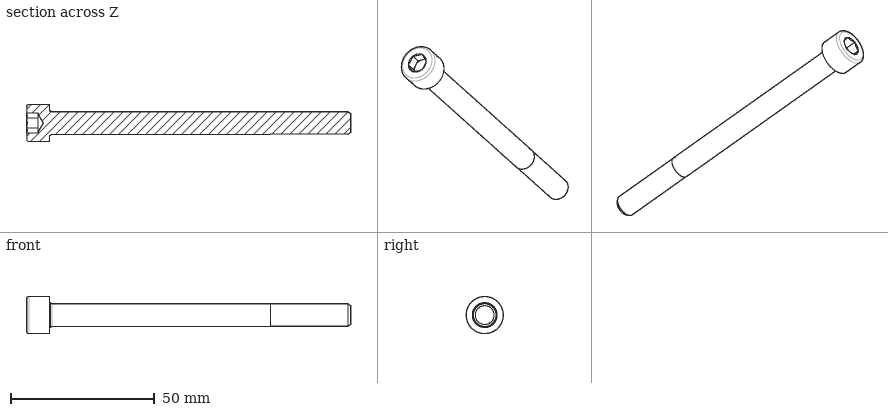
import cadquery as cq
import math

total_length = 113.0
head_length = 8.0
head_diameter = 13.0
head_edge_radius = 0.8
shank_diameter = 8.0
thread_diameter = 7.9
thread_length = 28.0
collar_length = 0.3
collar_height = 0.3
neck_taper_length = 0.6
tip_chamfer_length = 1.0
tip_chamfer_depth = 0.7

socket_flats = 6.0
socket_depth = 4.1
socket_cone_angle = 120.0
socket_mouth_diameter = 6.9
socket_mouth_angle = 120.0

head_radius = head_diameter / 2
shank_radius = shank_diameter / 2
thread_radius = thread_diameter / 2
thread_start = total_length - thread_length
socket_corners = socket_flats / math.cos(math.radians(30))


def make_body():
    """Revolve the head, collar, neck arc, plain shank and thread envelope."""
    collar_end = head_length + collar_length
    collar_radius = shank_radius + collar_height
    neck_end = collar_end + neck_taper_length
    neck_arc_radius = (neck_taper_length**2 + collar_height**2) / (2 * collar_height)
    profile = (
        cq.Workplane("XY")
        .lineTo(0, head_radius - head_edge_radius)
        .radiusArc((head_edge_radius, head_radius), head_edge_radius)
        .lineTo(head_length, head_radius)
        .lineTo(head_length, collar_radius)
        .lineTo(collar_end, collar_radius)
        .radiusArc((neck_end, shank_radius), -neck_arc_radius)
        .lineTo(thread_start, shank_radius)
        .lineTo(thread_start, thread_radius)
        .lineTo(total_length - tip_chamfer_length, thread_radius)
        .lineTo(total_length, thread_radius - tip_chamfer_depth)
        .lineTo(total_length, 0)
        .close()
    )
    return profile.revolve(360, (0, 0, 0), (1, 0, 0))


def make_cone(start, radius, included_angle):
    """Cone with its base at X = start and its point towards +X."""
    height = radius / math.tan(math.radians(included_angle / 2))
    return cq.Workplane(
        cq.Solid.makeCone(radius, 0, height, cq.Vector(start, 0, 0), cq.Vector(1, 0, 0))
    )


def make_socket():
    """Hexagon with corners on Y, a drilled cone floor and a chamfered mouth."""
    hexagon = cq.Workplane("YZ").polygon(6, socket_corners).extrude(socket_depth)
    floor = make_cone(socket_depth, socket_flats / 2, socket_cone_angle)
    mouth = make_cone(0, socket_mouth_diameter / 2, socket_mouth_angle)
    return hexagon.union(floor).union(mouth)


result = make_body().cut(make_socket())